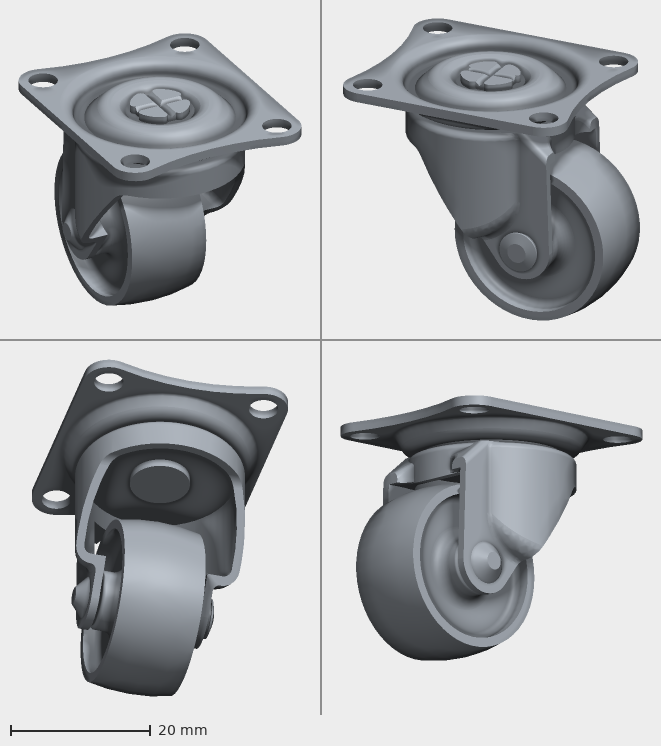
import cadquery as cq
import math


OVERALL_LENGTH = 39.0
OVERALL_HEIGHT = 35.0

PLATE_LENGTH = 35.0
PLATE_WIDTH = 30.0
PLATE_THICKNESS = 1.35
CORNER_RADIUS = 3.5
WAIST_HALF_LENGTH = 15.75
MOUNT_HOLE_DIAMETER = 4.2
DISH_BOTTOM_Z = -3.95
DISH_OUTER_RADIUS = 13.92
DISH_BOTTOM_RADIUS = 12.25
DISH_EDGE_FILLET = 2.35
DISH_ROOT_FILLET = 0.45
TROUGH_FLOOR_Z = -2.3
TROUGH_RIM_RADIUS = 12.85
TROUGH_OUTER_RADIUS = 12.3
TROUGH_INNER_RADIUS = 10.85
TROUGH_RIM_BEND = 1.87
TROUGH_FLOOR_BEND = 0.7
DOME_BEND = 1.95
DOME_EDGE_RADIUS = 8.4
SEAT_Z = -1.17
SEAT_RADIUS = 4.95
SEAT_RIM_RADIUS = 6.3
UNDERSIDE_Z = SEAT_Z - PLATE_THICKNESS
UNDERSIDE_RADIUS = 10.25

WHEEL_RADIUS = 25.0 / 2
WHEEL_EDGE_RADIUS = 11.8
WHEEL_WIDTH = 12.0
LIP_RADIUS = 10.5
WEB_HALF_WIDTH = 3.5
HUB_RADIUS = 4.3
HUB_WIDTH = 14.05
HUB_EDGE_FILLET = 0.45
HUB_ROOT_FILLET = 1.75
LIP_ROOT_FILLET = 1.0
AXLE_X = WHEEL_RADIUS + PLATE_LENGTH / 2 - OVERALL_LENGTH
AXLE_Z = WHEEL_RADIUS - OVERALL_HEIGHT

SHEET = 1.17
CROWN_RADIUS = 12.15
CROWN_TOP_Z = -4.52
SKIRT_Z = -9.0
APRON_SIDE_Z = -8.8
APRON_BOTTOM_Z = -9.35
SKIRT_MID_Z = (CROWN_TOP_Z + SKIRT_Z) / 2
LEG_HALF_SPAN = 8.7
LEG_END_RADIUS = 4.5
LEG_FRONT_X = -13.0
ROOF_TOP_X = -9.4
ROOF_FRONT_Z = -7.45
ROOF_HALF_GAP = 5.85
FLARE_RADIUS = 2.03
FLARE_OVERLAP = 0.08
SLANT_TOP_X = 6.65
SLANT_FILLET = 2.35
EDGE_FILLET = 1.0
FLANK_FILLET = 0.95
BULGE_BOTTOM_FILLET = 2.25
BULGE_ARC_START = (-8.65, -16.22)
BULGE_ARC_MIDDLE = (-6.0, -19.5)
BULGE_ARC_END = (0.0, -21.75)
BULGE_INSET_RATIO = 0.5
BEAD_RING_RADIUS = 8.65
BEAD_RADIUS = 0.9
BEAD_SINK = 0.08

AXLE_RADIUS = 2.3
CONE_HEIGHT = 1.6
CONE_BASE_RADIUS = 3.05
CONE_TIP_RADIUS = 1.3
PEEN_NECK_RADIUS = 2.6
PEEN_NECK_LENGTH = 0.7
PEEN_RIM_RADIUS = 2.92
PEEN_RIM_WIDTH = 0.27
PEEN_TIP_RADIUS = 1.45
PEEN_HEIGHT = 1.45

PIN_RADIUS = 3.12
PIN_HEAD_RADIUS = 4.3
PIN_FOOT_THICKNESS = 1.17
GROOVE_WIDTH = 1.3
GROOVE_DEPTH = 0.62
GROOVE_BAR_LENGTH = 7.35
LOBE_FILLET = 0.7

TALL = 78.0
PICK_MARGIN = 0.05


def cylinder(radius, z_low, z_high):
    """Solid cylinder on the swivel axis."""
    return cq.Workplane("XY").workplane(offset=z_low).circle(radius).extrude(z_high - z_low)


def spin(points):
    """Revolve an (r, z) polygon about the swivel axis."""
    return cq.Workplane("XZ").polyline(points).close().revolve(360, (0, 0, 0), (0, 1, 0))


def across(outline, half_width):
    """Extrude an XZ outline equally to both sides of Y = 0."""
    return outline.extrude(half_width, both=True)


def circle_at(radius, level, along_y=False):
    """Select the circular edges of one radius, centred on the Z axis (or the Y axis) at one level."""
    def box(half_size):
        low = [-half_size] * 3
        high = [half_size] * 3
        axis = 1 if along_y else 2
        low[axis] = level - PICK_MARGIN
        high[axis] = level + PICK_MARGIN
        return cq.selectors.BoxSelector(low, high, boundingbox=True)

    return box(radius + PICK_MARGIN) - box(radius - PICK_MARGIN)


def plate_outline():
    """Rounded rectangle whose two ends are waisted by arcs tangent to the corner rounds."""
    hole_x = PLATE_LENGTH / 2 - CORNER_RADIUS
    hole_y = PLATE_WIDTH / 2 - CORNER_RADIUS
    step = WAIST_HALF_LENGTH - hole_x
    waist_radius = (step**2 + hole_y**2 - CORNER_RADIUS**2) / (2 * (CORNER_RADIUS - step))
    waist_angle = math.asin(hole_y / (waist_radius + CORNER_RADIUS))
    tangent_x = hole_x + CORNER_RADIUS * math.cos(waist_angle)
    tangent_y = hole_y - CORNER_RADIUS * math.sin(waist_angle)
    corner_mid = (math.pi / 2 - waist_angle) / 2
    corner_x = hole_x + CORNER_RADIUS * math.cos(corner_mid)
    corner_y = hole_y + CORNER_RADIUS * math.sin(corner_mid)
    top = PLATE_WIDTH / 2
    return (
        cq.Workplane("XY").moveTo(-hole_x, top).lineTo(hole_x, top)
        .threePointArc((corner_x, corner_y), (tangent_x, tangent_y))
        .threePointArc((WAIST_HALF_LENGTH, 0), (tangent_x, -tangent_y))
        .threePointArc((corner_x, -corner_y), (hole_x, -top))
        .lineTo(-hole_x, -top)
        .threePointArc((-corner_x, -corner_y), (-tangent_x, -tangent_y))
        .threePointArc((-WAIST_HALF_LENGTH, 0), (-tangent_x, tangent_y))
        .threePointArc((-corner_x, corner_y), (-hole_x, top))
        .close()
    )


def make_plate():
    """Mounting plate with its formed dish, dome, kingpin seat and four screw holes."""
    flat = plate_outline().extrude(-PLATE_THICKNESS)
    dish = spin([(0, 0), (DISH_OUTER_RADIUS, 0), (DISH_OUTER_RADIUS, -PLATE_THICKNESS),
                 (DISH_BOTTOM_RADIUS, DISH_BOTTOM_Z), (0, DISH_BOTTOM_Z)])
    dish = dish.edges(circle_at(DISH_BOTTOM_RADIUS, DISH_BOTTOM_Z)).fillet(DISH_EDGE_FILLET)
    trough = spin([(TROUGH_RIM_RADIUS, 0), (TROUGH_OUTER_RADIUS, TROUGH_FLOOR_Z),
                   (TROUGH_INNER_RADIUS, TROUGH_FLOOR_Z), (DOME_EDGE_RADIUS, 0)])
    trough = trough.edges(circle_at(TROUGH_OUTER_RADIUS, TROUGH_FLOOR_Z)).fillet(TROUGH_FLOOR_BEND)
    seat = spin([(0, 0), (SEAT_RIM_RADIUS, 0), (SEAT_RADIUS, SEAT_Z), (0, SEAT_Z)])
    cone_top_radius = UNDERSIDE_RADIUS - (UNDERSIDE_Z - DISH_BOTTOM_Z)
    underside = spin([(0, DISH_BOTTOM_Z), (UNDERSIDE_RADIUS, DISH_BOTTOM_Z),
                      (cone_top_radius, UNDERSIDE_Z), (0, UNDERSIDE_Z)])
    plate = flat.union(dish)
    plate = plate.edges(circle_at(DISH_OUTER_RADIUS, -PLATE_THICKNESS)).fillet(DISH_ROOT_FILLET)
    plate = plate.cut(trough).cut(seat).cut(underside)
    plate = plate.edges(circle_at(TROUGH_RIM_RADIUS, 0)).fillet(TROUGH_RIM_BEND)
    plate = plate.edges(circle_at(DOME_EDGE_RADIUS, 0)).fillet(DOME_BEND)
    plate = plate.edges(circle_at(SEAT_RIM_RADIUS, 0)).fillet(DOME_BEND)
    mount_holes = (
        cq.Workplane("XY")
        .rect(PLATE_LENGTH - 2 * CORNER_RADIUS, PLATE_WIDTH - 2 * CORNER_RADIUS, forConstruction=True)
        .vertices().circle(MOUNT_HOLE_DIAMETER / 2).extrude(-PLATE_THICKNESS)
    )
    return plate.cut(mount_holes).cut(cylinder(PIN_RADIUS, DISH_BOTTOM_Z, 0))


def fork_envelope(front_points):
    """Block as wide as the crown, shaped by the round leg end and the slanted rear edge up to the skirt.

    The front points run from the crown top down to the front of the legs.
    """
    reach_x = SLANT_TOP_X - AXLE_X
    reach_z = SKIRT_Z - AXLE_Z
    reach = math.hypot(reach_x, reach_z)
    tangent_angle = math.atan2(reach_z, reach_x) - math.acos(LEG_END_RADIUS / reach)
    tangent = (AXLE_X + LEG_END_RADIUS * math.cos(tangent_angle),
               AXLE_Z + LEG_END_RADIUS * math.sin(tangent_angle))
    outline = (
        cq.Workplane("XZ")
        .polyline(front_points)
        .lineTo(AXLE_X - LEG_END_RADIUS, AXLE_Z)
        .threePointArc((AXLE_X, AXLE_Z - LEG_END_RADIUS), tangent)
        .lineTo(SLANT_TOP_X, SKIRT_Z)
        .lineTo(CROWN_RADIUS, SKIRT_Z)
        .lineTo(CROWN_RADIUS, CROWN_TOP_Z)
        .close()
    )
    body = across(outline, CROWN_RADIUS)
    corner = cq.selectors.NearestToPointSelector((SLANT_TOP_X, 0, SKIRT_Z))
    return body.edges(corner).fillet(SLANT_FILLET)


def bulge_side(inset):
    """Region above the rounded floor of the side bulges, shrunk by the inset."""
    def shifted(point):
        return (point[0] + inset * BULGE_INSET_RATIO, point[1] + inset)

    start = shifted(BULGE_ARC_START)
    end = shifted(BULGE_ARC_END)
    outline = (
        cq.Workplane("XZ")
        .moveTo(start[0], CROWN_TOP_Z)
        .lineTo(*start)
        .threePointArc(shifted(BULGE_ARC_MIDDLE), end)
        .lineTo(CROWN_RADIUS, end[1])
        .lineTo(CROWN_RADIUS, CROWN_TOP_Z)
        .close()
    )
    return across(outline, CROWN_RADIUS)


def crown_core(radius, top_z, inset, bottom_fillet):
    """Cylindrical crown with its short skirt and the rounded bulges beside the legs."""
    bulge = cylinder(radius, AXLE_Z, top_z).intersect(bulge_side(inset))
    bottom_edges = cq.selectors.BoxSelector(
        (BULGE_ARC_START[0], -radius, AXLE_Z), (radius, radius, BULGE_ARC_START[1] - PICK_MARGIN))
    bulge = bulge.edges(bottom_edges).fillet(bottom_fillet)
    return bulge.union(cylinder(radius, SKIRT_Z, top_z))


def roof_notch():
    """Opening between the roof strips; its sides flare in arcs that run into the crown wall."""
    center_y = ROOF_HALF_GAP - FLARE_RADIUS
    center_x = -math.sqrt((CROWN_RADIUS - FLARE_OVERLAP + FLARE_RADIUS)**2 - center_y**2)
    inward = math.atan2(-center_y, -center_x)
    start = (center_x, ROOF_HALF_GAP)
    end = (center_x + FLARE_RADIUS * math.cos(inward), center_y + FLARE_RADIUS * math.sin(inward))
    middle_angle = (inward + math.pi / 2) / 2
    middle = (center_x + FLARE_RADIUS * math.cos(middle_angle),
              center_y + FLARE_RADIUS * math.sin(middle_angle))
    return (
        cq.Workplane("XY").workplane(offset=-TALL / 2)
        .moveTo(-CROWN_RADIUS * 2, ROOF_HALF_GAP).lineTo(*start)
        .threePointArc(middle, end)
        .lineTo(end[0], -end[1])
        .threePointArc((middle[0], -middle[1]), (start[0], -start[1]))
        .lineTo(-CROWN_RADIUS * 2, -ROOF_HALF_GAP).close()
        .extrude(TALL)
    )


def make_legs():
    """Two flat legs under a sloped roof, open at the front between the roof strips."""
    width = 2 * LEG_HALF_SPAN
    reach = CROWN_RADIUS + 2 * SHEET
    front = cq.Workplane("XY").box(reach, width, TALL).translate((-reach / 2, 0, 0))
    legs = fork_envelope([(ROOF_TOP_X, CROWN_TOP_Z), (LEG_FRONT_X, ROOF_FRONT_Z)]).intersect(front)
    roof_x = (ROOF_TOP_X + LEG_FRONT_X) / 2
    roof_z = (CROWN_TOP_Z + ROOF_FRONT_Z) / 2
    for side in (-1, 1):
        roof_edge = cq.selectors.NearestToPointSelector((roof_x, side * LEG_HALF_SPAN, roof_z))
        legs = legs.edges(roof_edge).fillet(EDGE_FILLET)
    slope = (CROWN_TOP_Z - ROOF_FRONT_Z) / (ROOF_TOP_X - LEG_FRONT_X)
    ceiling_z = ROOF_FRONT_Z - SHEET * math.hypot(1, slope)
    channel = cq.Workplane("XY").box(2 * reach, 2 * (LEG_HALF_SPAN - SHEET), TALL).translate(
        (-reach, 0, ceiling_z - TALL / 2))
    legs = legs.cut(channel).cut(roof_notch())
    for side in (-1, 1):
        flare_spot = (roof_x - SHEET, side * (ROOF_HALF_GAP - SHEET), roof_z - SHEET / 2)
        legs = legs.edges(cq.selectors.NearestToPointSelector(flare_spot)).fillet(EDGE_FILLET)
    return legs


def make_apron():
    """Front of the skirt between the roof strips, with a bowed lower edge."""
    block = (
        cq.Workplane("YZ")
        .moveTo(-ROOF_HALF_GAP, SKIRT_MID_Z).lineTo(-ROOF_HALF_GAP, APRON_SIDE_Z)
        .threePointArc((0, APRON_BOTTOM_Z), (ROOF_HALF_GAP, APRON_SIDE_Z))
        .lineTo(ROOF_HALF_GAP, SKIRT_MID_Z).close().extrude(-CROWN_RADIUS)
    )
    apron = block.intersect(cylinder(CROWN_RADIUS, APRON_BOTTOM_Z, CROWN_TOP_Z))
    return apron.cut(cylinder(CROWN_RADIUS - SHEET, APRON_BOTTOM_Z, CROWN_TOP_Z))


def round_flanks(fork):
    """Blend the bulge walls into the outer faces of the legs."""
    for side in (-1, 1):
        y = side * LEG_HALF_SPAN
        seam = cq.selectors.BoxSelector(
            (AXLE_X, y - PICK_MARGIN, BULGE_ARC_END[1] - PICK_MARGIN),
            (PICK_MARGIN, y + PICK_MARGIN, CROWN_TOP_Z - SHEET / 2),
            boundingbox=True,
        )
        fork = fork.edges(seam).fillet(FLANK_FILLET)
    return fork


def make_bead():
    """Ring bead on top of the crown, sunk slightly into the sheet."""
    bead_z = CROWN_TOP_Z + BEAD_RADIUS - BEAD_SINK
    section = cq.Workplane("XZ").center(BEAD_RING_RADIUS, bead_z).circle(BEAD_RADIUS)
    return section.revolve(360, (-BEAD_RING_RADIUS, 0, 0), (-BEAD_RING_RADIUS, 1, 0))


def make_fork():
    """Pressed sheet fork with a cup-shaped crown, two legs and side bulges."""
    crown = crown_core(CROWN_RADIUS, CROWN_TOP_Z, 0, BULGE_BOTTOM_FILLET)
    crown = crown.faces(">Z").edges().fillet(EDGE_FILLET)
    fork = round_flanks(crown.union(make_legs()))
    inner_radius = CROWN_RADIUS - SHEET
    inner_top = CROWN_TOP_Z - SHEET
    cavity = crown_core(inner_radius, inner_top, SHEET, BULGE_BOTTOM_FILLET - SHEET)
    gap_width = 2 * (LEG_HALF_SPAN - SHEET)
    between_legs = cylinder(inner_radius, -TALL, inner_top).intersect(
        cq.Workplane("XY").box(TALL, gap_width, 2 * TALL))
    gap_height = TALL + SKIRT_Z
    wheel_gap = cq.Workplane("XY").box(TALL, gap_width, gap_height).translate((0, 0, SKIRT_Z - gap_height / 2))
    fork = fork.cut(cavity).cut(between_legs).cut(wheel_gap)
    front_x = AXLE_X - LEG_END_RADIUS
    fork = fork.intersect(fork_envelope([(front_x, CROWN_TOP_Z), (front_x, ROOF_FRONT_Z)]))
    fork = fork.union(make_apron()).union(make_bead())
    axle_hole = across(cq.Workplane("XZ").center(AXLE_X, AXLE_Z).circle(AXLE_RADIUS), LEG_HALF_SPAN)
    pin_hole = cylinder(PIN_RADIUS, inner_top, CROWN_TOP_Z)
    return fork.cut(axle_hole).cut(pin_hole)


def make_wheel():
    """Crowned wheel with a recessed web and a raised hub on each side."""
    half = WHEEL_WIDTH / 2
    hub_half = HUB_WIDTH / 2
    wheel = (
        cq.Workplane("XY")
        .moveTo(0, -hub_half).lineTo(HUB_RADIUS, -hub_half)
        .lineTo(HUB_RADIUS, -WEB_HALF_WIDTH).lineTo(LIP_RADIUS, -WEB_HALF_WIDTH)
        .lineTo(LIP_RADIUS, -half).lineTo(WHEEL_EDGE_RADIUS, -half)
        .threePointArc((WHEEL_RADIUS, 0), (WHEEL_EDGE_RADIUS, half))
        .lineTo(LIP_RADIUS, half).lineTo(LIP_RADIUS, WEB_HALF_WIDTH)
        .lineTo(HUB_RADIUS, WEB_HALF_WIDTH).lineTo(HUB_RADIUS, hub_half)
        .lineTo(0, hub_half).close()
        .revolve(360, (0, 0, 0), (0, 1, 0))
    )
    for side in (-1, 1):
        web_y = side * WEB_HALF_WIDTH
        rounds = ((HUB_RADIUS, web_y, HUB_ROOT_FILLET), (LIP_RADIUS, web_y, LIP_ROOT_FILLET),
                  (HUB_RADIUS, side * hub_half, HUB_EDGE_FILLET))
        for radius, y, fillet in rounds:
            wheel = wheel.edges(circle_at(radius, y, along_y=True)).fillet(fillet)
    wheel = wheel.translate((AXLE_X, 0, AXLE_Z))
    bore = across(cq.Workplane("XZ").center(AXLE_X, AXLE_Z).circle(AXLE_RADIUS), hub_half)
    return wheel.cut(bore)


def make_axle():
    """Riveted pin with a conical head on the -Y side and a peened end on the +Y side."""
    neck_y = LEG_HALF_SPAN + PEEN_NECK_LENGTH
    rim_y = neck_y + PEEN_RIM_WIDTH
    cone_y = -LEG_HALF_SPAN - CONE_HEIGHT
    peen_y = LEG_HALF_SPAN + PEEN_HEIGHT
    profile = [
        (0, cone_y), (CONE_TIP_RADIUS, cone_y),
        (CONE_BASE_RADIUS, -LEG_HALF_SPAN), (AXLE_RADIUS, -LEG_HALF_SPAN),
        (AXLE_RADIUS, LEG_HALF_SPAN), (PEEN_NECK_RADIUS, LEG_HALF_SPAN),
        (PEEN_NECK_RADIUS, neck_y), (PEEN_RIM_RADIUS, neck_y), (PEEN_RIM_RADIUS, rim_y),
        (PEEN_TIP_RADIUS, peen_y), (0, peen_y),
    ]
    axle = cq.Workplane("XY").polyline(profile).close().revolve(360, (0, 0, 0), (0, 1, 0))
    return axle.translate((AXLE_X, 0, AXLE_Z))


def pin_lobe():
    """One rounded quarter of the staked head, lying in the +X +Y quadrant."""
    gap = GROOVE_WIDTH / 2
    rim = math.sqrt(PIN_HEAD_RADIUS**2 - gap**2)
    diagonal = PIN_HEAD_RADIUS * math.sqrt(0.5)
    lobe = (
        cq.Workplane("XY").workplane(offset=SEAT_Z)
        .moveTo(gap, gap).lineTo(rim, gap)
        .threePointArc((diagonal, diagonal), (gap, rim)).close()
        .extrude(-SEAT_Z)
    )
    for tip in ((rim, gap), (gap, rim)):
        lobe = lobe.edges(cq.selectors.NearestToPointSelector((*tip, SEAT_Z / 2))).fillet(LOBE_FILLET)
    return lobe


def make_kingpin():
    """Pin that ties the fork to the plate, with a cross-grooved head on top."""
    foot_top = CROWN_TOP_Z - SHEET
    pin = cylinder(PIN_RADIUS, foot_top, SEAT_Z)
    pin = pin.union(cylinder(PIN_HEAD_RADIUS, foot_top - PIN_FOOT_THICKNESS, foot_top))
    bar = cq.Workplane("XY").box(GROOVE_BAR_LENGTH, GROOVE_WIDTH, -SEAT_Z).translate((0, 0, SEAT_Z / 2))
    groove = cq.Workplane("YZ").polyline(
        [(-GROOVE_WIDTH / 2, 0), (GROOVE_WIDTH / 2, 0), (0, -GROOVE_DEPTH)]
    ).close().extrude(PIN_HEAD_RADIUS, both=True)
    for angle in (0, 90):
        pin = pin.union(bar.rotate((0, 0, 0), (0, 0, 1), angle))
    for angle in (0, 90, 180, 270):
        pin = pin.union(pin_lobe().rotate((0, 0, 0), (0, 0, 1), angle))
    for angle in (0, 90):
        pin = pin.cut(groove.rotate((0, 0, 0), (0, 0, 1), angle))
    return pin


plate = make_plate()
fork = make_fork()
wheel = make_wheel()
axle = make_axle()
kingpin = make_kingpin()

result = cq.Compound.makeCompound([plate.val(), fork.val(), wheel.val(), axle.val(), kingpin.val()])